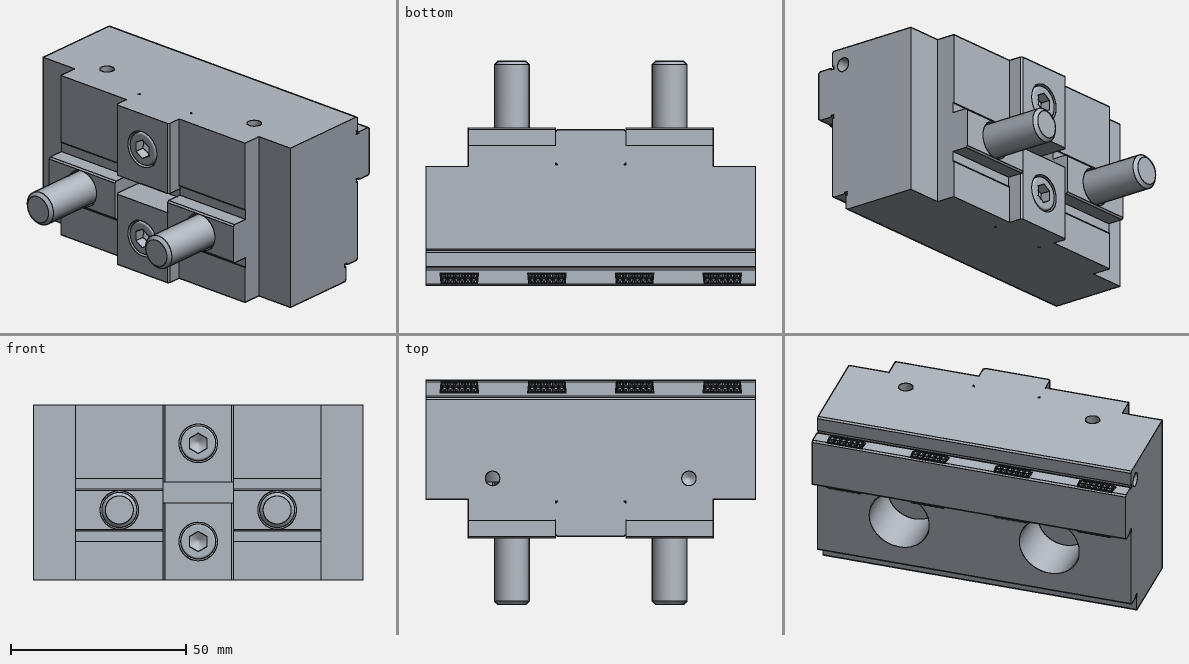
import cadquery as cq
import math


LENGTH = 94.0
HEIGHT = 50.0
BACK_Y = -5.0
LOWER_BACK_Y = -10.0
LOWER_STEP_HEIGHT = 5.0
SHOULDER_Y = -34.0
CENTRE_LENGTH = 70.0
CENTRE_Y = -40.0
EDGE_CHAMFER = 0.5

TONGUE_BOTTOM = 30.0
TONGUE_TOP = 45.0
RELIEF_SIZE = 1.0

GRIP_PITCH = 25.0
GRIP_COUNT = 4
GRIP_BACK_Y = -0.4
GRIP_FRONT_Y = -3.6
GRIP_BACK_LENGTH = 10.4
GRIP_FRONT_LENGTH = 11.0
GRIP_THICKNESS = 0.25
GRIP_EDGE_TAPER = 45.0
TOOTH_COLUMNS = 6
TOOTH_ROWS = 2
TOOTH_PITCH = 1.67
TOOTH_BASE = 1.4
TOOTH_TIP = 0.4
TOOTH_HEIGHT = 0.5
OVERLAP = 0.2

KEY_Z = 20.0
KEY_HEIGHT = 12.0
KEY_Y = -45.0
GROOVE_HEIGHT = 18.0
GROOVE_Y = -39.7

PAD_LENGTH = 20.0
PAD_HEIGHT = 22.0
PAD_Y = -44.5
SLOT_Y = -34.5

BOLT_X = 22.5
BOLT_DIAMETER = 10.0
BOLT_TIP_Y = -64.0
BOLT_TIP_CHAMFER = 1.0
BOLT_HEAD_DIAMETER = 16.0
BOLT_HEAD_LENGTH = 10.0
BOLT_SEAT_Y = -29.0
BOLT_CLEARANCE = 11.0
BOLT_COUNTERBORE = 18.0

SCREW_HEAD_DIAMETER = 10.0
SCREW_HEAD_LENGTH = 6.0
SCREW_HEAD_FILLET = 0.6
SCREW_COUNTERBORE = 11.0
HEX_ACROSS_FLATS = 5.0
HEX_DEPTH = 3.0

TAP_DIAMETER = 4.13
DRILL_TIP_ANGLE = 118.0
TOP_HOLE_X = 28.0
TOP_HOLE_Y = -28.0
TOP_HOLE_DEPTH = 10.0
LOCK_HOLE_DEPTH = HEIGHT - KEY_Z
SIDE_HOLE_Y = -9.0
SIDE_HOLE_Z = 45.0
SIDE_HOLE_DEPTH = 10.0


def block(x_range, y_range, z_range):
    """Axis-aligned box between the given limits."""
    size = [abs(end - start) for start, end in (x_range, y_range, z_range)]
    corner = (min(x_range), min(y_range), min(z_range))
    return cq.Workplane("XY").box(*size, centered=False).translate(corner)


def rod(diameter, x, z, start_y, end_y):
    """Cylinder along Y from start_y forward to end_y."""
    front = cq.Workplane("XZ", origin=(x, start_y, z))
    return front.circle(diameter / 2).extrude(start_y - end_y)


def along_length(length, outline, x=0.0):
    """Extrude a closed (y, z) outline along X, centred on x."""
    plane = cq.Workplane("YZ", origin=(x - length / 2, 0, 0))
    return plane.polyline(outline).close().extrude(length)


def drill(diameter, depth):
    """Drill-shaped cutter pointing down from the origin."""
    radius = diameter / 2
    tip = radius / math.tan(math.radians(DRILL_TIP_ANGLE / 2))
    outline = [(0, 0), (radius, 0), (radius, -depth), (0, -depth - tip)]
    return cq.Workplane("XZ").polyline(outline).close().revolve(360, (0, 0), (0, 1))


def make_body():
    c = EDGE_CHAMFER
    outline = [
        (SHOULDER_Y, 0),
        (LOWER_BACK_Y - c, 0),
        (LOWER_BACK_Y, c),
        (LOWER_BACK_Y, LOWER_STEP_HEIGHT),
        (BACK_Y - c, LOWER_STEP_HEIGHT),
        (BACK_Y, LOWER_STEP_HEIGHT + c),
        (BACK_Y, TONGUE_BOTTOM),
        (-c, TONGUE_BOTTOM),
        (0, TONGUE_BOTTOM + c),
        (0, TONGUE_TOP - c),
        (-c, TONGUE_TOP),
        (BACK_Y, TONGUE_TOP),
        (BACK_Y, HEIGHT - c),
        (BACK_Y - c, HEIGHT),
        (SHOULDER_Y, HEIGHT),
    ]
    body = along_length(LENGTH, outline)
    half = CENTRE_LENGTH / 2
    body = body.union(block((-half, half), (CENTRE_Y, SHOULDER_Y), (0, HEIGHT)))

    inside_corners = [
        (LOWER_BACK_Y, LOWER_STEP_HEIGHT),
        (BACK_Y, TONGUE_BOTTOM),
        (BACK_Y, TONGUE_TOP),
    ]
    for y, z in inside_corners:
        relief = cq.Workplane("XY").box(LENGTH, RELIEF_SIZE, RELIEF_SIZE)
        body = body.cut(relief.translate((0, y, z)))
    return body


def cut_front_slots(body):
    half_centre = CENTRE_LENGTH / 2
    half_groove = GROOVE_HEIGHT / 2
    groove_z = (KEY_Z - half_groove, KEY_Z + half_groove)
    body = body.cut(block((-half_centre, half_centre), (CENTRE_Y, GROOVE_Y), groove_z))
    half_pad = PAD_LENGTH / 2
    return body.cut(block((-half_pad, half_pad), (CENTRE_Y, SLOT_Y), (0, HEIGHT)))


def make_key(side):
    """Key bar between the pad slot and the end of the raised centre."""
    c = EDGE_CHAMFER
    bottom = KEY_Z - KEY_HEIGHT / 2
    top = KEY_Z + KEY_HEIGHT / 2
    outline = [
        (GROOVE_Y, bottom),
        (KEY_Y + c, bottom),
        (KEY_Y, bottom + c),
        (KEY_Y, top - c),
        (KEY_Y + c, top),
        (GROOVE_Y, top),
    ]
    length = (CENTRE_LENGTH - PAD_LENGTH) / 2
    return along_length(length, outline, side * (PAD_LENGTH + length) / 2)


def make_pad(bottom):
    """Pad with its four upright edges chamfered; the inner two leave small channels in the slot."""
    half = PAD_LENGTH / 2
    pad = block((-half, half), (PAD_Y, SLOT_Y), (bottom, bottom + PAD_HEIGHT))
    return pad.edges("|Z").chamfer(EDGE_CHAMFER)


def make_bolt(x):
    shank = rod(BOLT_DIAMETER, x, KEY_Z, BOLT_SEAT_Y, BOLT_TIP_Y)
    shank = shank.faces("<Y").chamfer(BOLT_TIP_CHAMFER)
    head_end = BOLT_SEAT_Y + BOLT_HEAD_LENGTH
    return shank.union(rod(BOLT_HEAD_DIAMETER, x, KEY_Z, head_end, BOLT_SEAT_Y))


def cut_bolt_bore(body, x):
    body = body.cut(rod(BOLT_CLEARANCE, x, KEY_Z, BOLT_SEAT_Y, KEY_Y))
    return body.cut(rod(BOLT_COUNTERBORE, x, KEY_Z, BACK_Y, BOLT_SEAT_Y))


def add_pad_screw(body, z):
    """Counterbore with a hexagon socket cap screw head flush in it."""
    seat_y = PAD_Y + SCREW_HEAD_LENGTH
    body = body.cut(rod(SCREW_COUNTERBORE, 0, z, seat_y, PAD_Y))

    head = rod(SCREW_HEAD_DIAMETER, 0, z, seat_y, PAD_Y)
    head = head.faces("<Y").edges().fillet(SCREW_HEAD_FILLET)
    across_corners = HEX_ACROSS_FLATS / math.cos(math.pi / 6)
    hexagon = cq.Workplane("XY").polygon(6, across_corners).extrude(-SCREW_HEAD_LENGTH)
    socket = hexagon.rotate((0, 0, 0), (0, 0, 1), 90)
    socket = socket.intersect(drill(across_corners, HEX_DEPTH))
    socket = socket.rotate((0, 0, 0), (1, 0, 0), 90).translate((0, PAD_Y, z))
    return body.union(head.cut(socket))


def cut_tapped_holes(body):
    plain_hole = drill(TAP_DIAMETER, TOP_HOLE_DEPTH)
    body = body.cut(plain_hole.translate((TOP_HOLE_X, TOP_HOLE_Y, HEIGHT)))

    top = cq.Workplane("XY", origin=(-TOP_HOLE_X, TOP_HOLE_Y, HEIGHT))
    body = body.cut(top.circle(TAP_DIAMETER / 2).extrude(-LOCK_HOLE_DEPTH))

    side_hole = drill(TAP_DIAMETER, SIDE_HOLE_DEPTH).rotate((0, 0, 0), (0, 1, 0), -90)
    return body.cut(side_hole.translate((-LENGTH / 2, SIDE_HOLE_Y, SIDE_HOLE_Z)))


def make_grip():
    """Toothed grip plate lying on z = 0, centred on x = 0."""
    outline = [
        (-GRIP_BACK_LENGTH / 2, GRIP_BACK_Y),
        (GRIP_BACK_LENGTH / 2, GRIP_BACK_Y),
        (GRIP_FRONT_LENGTH / 2, GRIP_FRONT_Y),
        (-GRIP_FRONT_LENGTH / 2, GRIP_FRONT_Y),
    ]
    base = cq.Workplane("XY").polyline(outline).close().extrude(-OVERLAP)
    top = cq.Workplane("XY").polyline(outline).close()
    plate = base.union(top.extrude(GRIP_THICKNESS, taper=GRIP_EDGE_TAPER))
    middle_y = (GRIP_BACK_Y + GRIP_FRONT_Y) / 2
    tooth = (
        cq.Workplane("XY")
        .rect(TOOTH_BASE, TOOTH_BASE)
        .workplane(offset=TOOTH_HEIGHT)
        .rect(TOOTH_TIP, TOOTH_TIP)
        .loft()
    )
    for column in range(TOOTH_COLUMNS):
        for row in range(TOOTH_ROWS):
            x = (column - (TOOTH_COLUMNS - 1) / 2) * TOOTH_PITCH
            y = middle_y + (row - (TOOTH_ROWS - 1) / 2) * TOOTH_PITCH
            plate = plate.union(tooth.translate((x, y, GRIP_THICKNESS)))
    return plate


def add_grips(body):
    upper = make_grip().translate((0, 0, TONGUE_TOP))
    lower = make_grip().mirror("XY").translate((0, 0, TONGUE_BOTTOM))
    for index in range(GRIP_COUNT):
        x = (index - (GRIP_COUNT - 1) / 2) * GRIP_PITCH
        body = body.union(upper.translate((x, 0, 0)))
        body = body.union(lower.translate((x, 0, 0)))
    return body


part = cut_front_slots(make_body())
for side in (-1, 1):
    part = part.union(make_key(side))
for pad_bottom in (0, HEIGHT - PAD_HEIGHT):
    part = part.union(make_pad(pad_bottom))
    part = add_pad_screw(part, pad_bottom + PAD_HEIGHT / 2)
part = cut_tapped_holes(part)
for bolt_x in (-BOLT_X, BOLT_X):
    part = cut_bolt_bore(part, bolt_x)
    part = part.union(make_bolt(bolt_x))
part = add_grips(part)

result = part